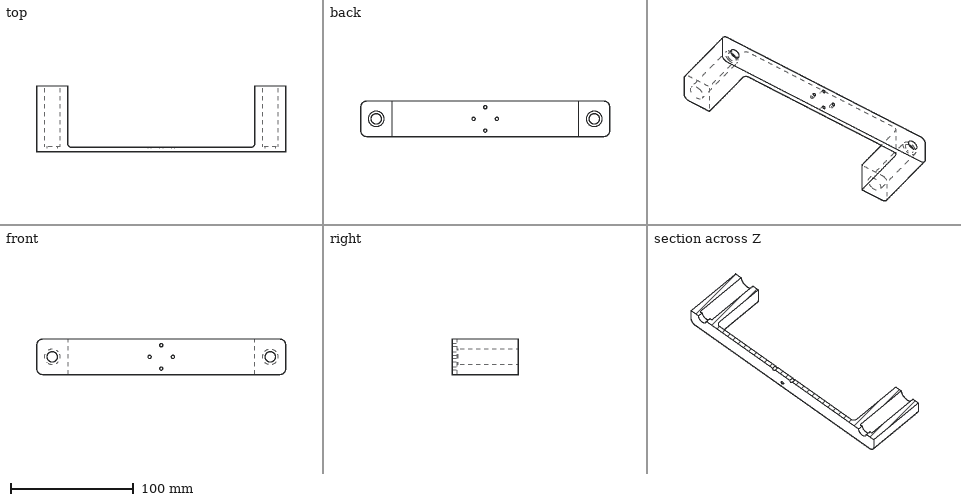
import cadquery as cq

length = 203.2
depth = 53.85
height = 29.21
corner_radius = 5.08

leg_width = 25.4
web_thickness = 3.81
inner_corner_radius = 3.175

mounting_hole_diameter = 8.33
counterbore_diameter = 12.7
counterbore_floor_thickness = 4.572
mounting_hole_inset = leg_width / 2
mounting_hole_x = length / 2 - mounting_hole_inset

small_hole_diameter = 2.54
small_hole_circle_diameter = 19.05
small_hole_count = 4


def make_block():
    """Solid bar with its four long Y edges rounded, front face on Y = 0."""
    return (
        cq.Workplane("XY")
        .box(length, depth, height, centered=(True, False, True))
        .edges("|Y")
        .fillet(corner_radius)
    )


def make_gap():
    """Space between the legs, with rounded corners where they meet the web."""
    return (
        cq.Workplane("XY")
        .box(length - 2 * leg_width, depth - web_thickness, height, centered=(True, False, True))
        .edges("|Z and <Y")
        .fillet(inner_corner_radius)
        .translate((0, web_thickness, 0))
    )


def make_leg_bores(diameter, start_y):
    """One cylinder per leg, running from start_y to the back of the part."""
    return (
        cq.Workplane("XZ", origin=(0, start_y, 0))
        .pushPoints([(-mounting_hole_x, 0), (mounting_hole_x, 0)])
        .circle(diameter / 2)
        .extrude(start_y - depth)
    )


def make_small_holes():
    """Cylinders through the web at the middle of the part."""
    return (
        cq.Workplane("XZ")
        .polarArray(small_hole_circle_diameter / 2, 0, 360, small_hole_count)
        .circle(small_hole_diameter / 2)
        .extrude(-web_thickness)
    )


result = (
    make_block()
    .cut(make_gap())
    .cut(make_leg_bores(mounting_hole_diameter, 0))
    .cut(make_leg_bores(counterbore_diameter, counterbore_floor_thickness))
    .cut(make_small_holes())
    .translate((0, -depth / 2, 0))
)